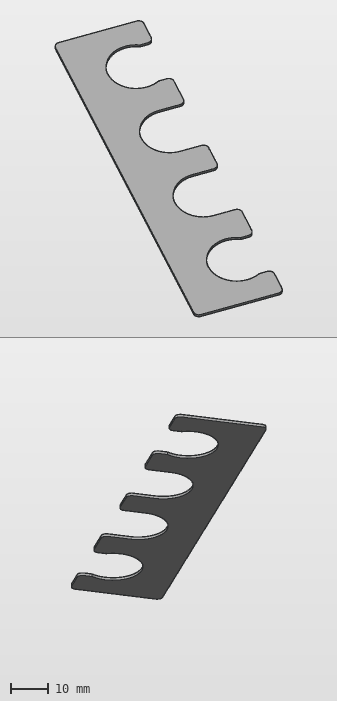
import cadquery as cq

length = 107.7
width = 25.4
thickness = 0.81
corner_radius = 1.5

slot_count = 4
slot_pitch = 25.4
slot_radius = 8.1
slot_floor = 9.7
neck_width = 14.2

slot_center_y = slot_floor + slot_radius
first_slot_x = (length - (slot_count - 1) * slot_pitch) / 2


def slot_cutter(center_x, mouth_width):
    """Round seat plus a straight mouth running out through the +Y edge."""
    seat = cq.Workplane("XY").center(center_x, slot_center_y).circle(slot_radius).extrude(thickness)
    mouth_length = width - slot_center_y
    mouth = (
        cq.Workplane("XY")
        .center(center_x, slot_center_y + mouth_length / 2)
        .rect(mouth_width, mouth_length)
        .extrude(thickness)
    )
    return seat.union(mouth)


plate = cq.Workplane("XY").box(length, width, thickness, centered=False)

for index in range(slot_count):
    is_end_slot = index in (0, slot_count - 1)
    mouth_width = neck_width if is_end_slot else 2 * slot_radius
    plate = plate.cut(slot_cutter(first_slot_x + index * slot_pitch, mouth_width))

plate = plate.faces(">Y").edges("|Z").fillet(corner_radius)
result = plate.faces("<Y").edges("|Z").fillet(corner_radius)